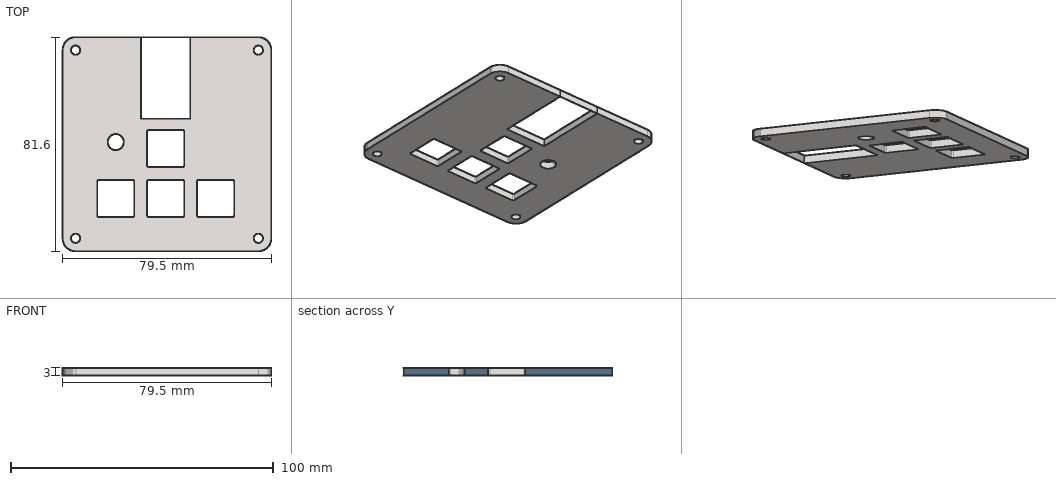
import cadquery as cq

plate_width = 79.5
plate_depth = 81.6
plate_thickness = 3.0
corner_radius = 5.0

mount_hole_diameter = 3.4
mount_spacing_x = plate_width - 2 * corner_radius
mount_spacing_y = plate_depth - 2 * corner_radius

key_size = 14.0
key_corner_radius = 0.5
key_pitch = 19.0
middle_key_x = -0.5
key_row_y = -20.6
key_centres = [
    (middle_key_x - key_pitch, key_row_y),
    (middle_key_x, key_row_y),
    (middle_key_x + key_pitch, key_row_y),
    (middle_key_x, key_row_y + key_pitch),
]

knob_hole_diameter = 6.0
knob_x = middle_key_x - key_pitch
knob_y = 0.8

window_width = 18.6
window_front_y = 9.8
window_back_wall = 0.1
window_back_y = plate_depth / 2 - window_back_wall
window_depth = window_back_y - window_front_y
window_centre_y = (window_front_y + window_back_y) / 2


def make_plate():
    plate = cq.Workplane("XY").rect(plate_width, plate_depth).extrude(plate_thickness)
    return plate.edges("|Z").fillet(corner_radius)


def make_mount_holes():
    holes = cq.Workplane("XY").rect(mount_spacing_x, mount_spacing_y, forConstruction=True)
    return holes.vertices().circle(mount_hole_diameter / 2).extrude(plate_thickness)


def make_key_openings():
    openings = cq.Workplane("XY").pushPoints(key_centres).rect(key_size, key_size)
    return openings.extrude(plate_thickness).edges("|Z").fillet(key_corner_radius)


def make_knob_hole():
    hole = cq.Workplane("XY").center(knob_x, knob_y).circle(knob_hole_diameter / 2)
    return hole.extrude(plate_thickness)


def make_window():
    window = cq.Workplane("XY").center(middle_key_x, window_centre_y)
    return window.rect(window_width, window_depth).extrude(plate_thickness)


result = (
    make_plate()
    .cut(make_mount_holes())
    .cut(make_key_openings())
    .cut(make_knob_hole())
    .cut(make_window())
)